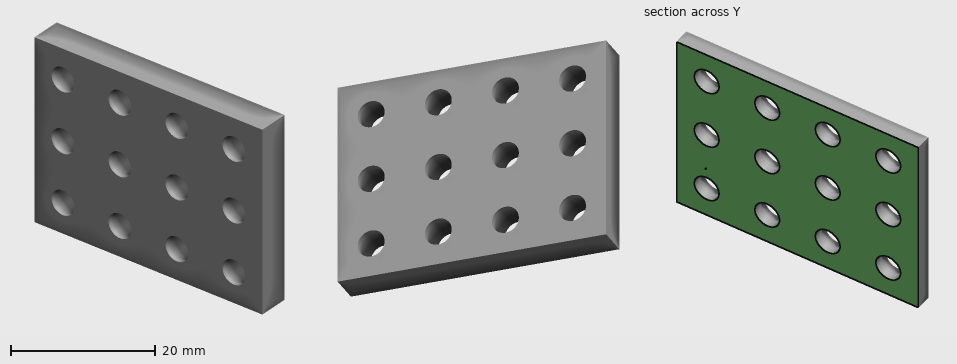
import cadquery as cq

hole_pitch = 10.0
hole_diameter = 4.0
columns = 4
rows = 3

plate_length = columns * hole_pitch
plate_height = rows * hole_pitch
plate_thickness = 5.0


def make_plate():
    """Upright plate, centred on the origin, with its thickness along Y."""
    return cq.Workplane("XY").box(plate_length, plate_thickness, plate_height)


def drill_hole_grid(plate):
    """Drill the grid of through holes along Y."""
    return (
        plate.faces("<Y")
        .workplane(centerOption="CenterOfBoundBox")
        .rarray(hole_pitch, hole_pitch, columns, rows)
        .hole(hole_diameter)
    )


result = drill_hole_grid(make_plate())